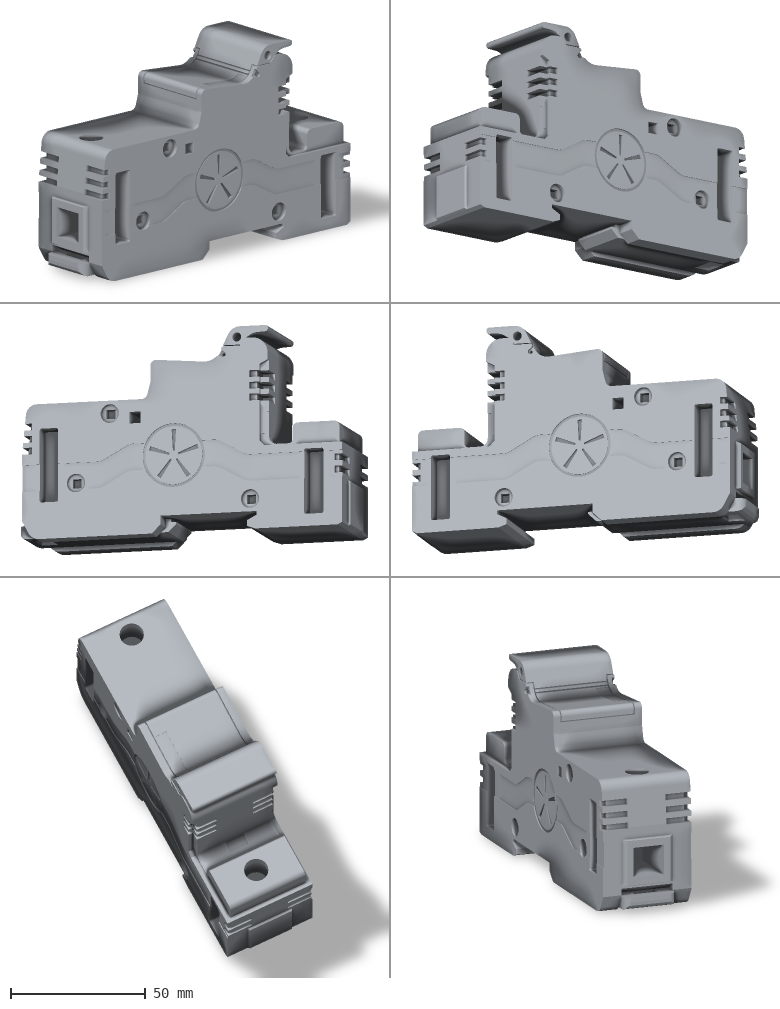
import cadquery as cq
import math


SIDES = (-1, 1)

width = 35.4
half_width = width / 2
overshoot = 5.0
front_y = -58.5
rear_y = 65.06
rail_ceiling_z = 6.55
deck_z = 50.9
tower_front_y = -8.95
tower_rear_y = 36.3
tower_top_z = 72.1
cover_edge_z = 65.6
cover_corner_radius = 2.0
deck_corner_radius = 4.2
front_bend_z = 32.75
front_top_y = -56.65
front_foot_y = -54.7
front_foot_z = 6.9
front_foot_radius = 4.7
rear_foot_y = 63.3
rail_hook_y = 28.4
rail_rear_y = 32.0
rail_front_y = -5.0
trough_z = 31.9
trough_radius = 3.0
cover_valley = (15.9, 63.55)
cover_valley_radius = 6.4
deck_step_y = -10.6
deck_step_radius = 2.5
tower_bend = (-9.0, 57.0)
tower_wall_z = 57.9
tower_top_radius = 6.0
block_front_y = 45.4
block_rear_y = 63.4
block_top_z = 39.6
block_radius = 1.9
block_foot_radius = 1.6

centre_half_width = 15.85
shoulder_y = 33.1
shoulder_z = 31.25
shoulder_top_z = 62.0
shoulder_chamfer = 1.9
shoulder_slope_z = 63.6
flank_relief = 0.2
flank_step_y = 34.6
flank_step_low_z = 36.1
flank_step_high_z = 44.3

lever_top_z = 76.6
lever_foot_z = 69.7
lever_inset = 0.3
lever_back_y = 22.35
lever_back_radius = 5.0
lever_slope = (lever_back_y - cover_valley[0]) / (lever_top_z - cover_valley[1])
lever_front_foot_y = cover_valley[0] + lever_slope * (lever_foot_z - cover_valley[1])
lever_tip_low_z = 74.3
lever_tip_radius = 1.0
lever_finger_bend = (30.6, 74.0)
lever_finger_radius = 6.0
lever_knee = (27.6, tower_top_z)
lever_heel = (25.4, lever_foot_z)
pivot = (24.3, 72.6)
pivot_radius = 1.7
hinge = (19.1, 66.3)
hinge_socket_radius = 1.0
hinge_hole_radius = 0.55
hinge_socket_depth = 1.2
hinge_mouth_reach = 4.0
hinge_mouth_rise = 2.4

seam_width = 0.5
seam_depth = 0.8
cover_lip_height = 1.0
cover_lip_depth = 0.15
cover_half_width = 14.4
cover_foot_z = 61.2
hinge_seams_z = (66.05, 67.3)
lever_seam_height = 0.4
lever_seam_rear_y = 25.6
label_width = 5.0
label_y = (-1.45, 16.4)
label_depth = 0.15

wheel_z = 29.2
wheel_radius = 12.0
wheel_inner_radius = 11.0
hub_radius = 1.8
mark_depth = 0.3
wheel_ring_depth = 0.6
spoke_count = 5
spoke_depth = 1.3
spoke_root_half_width = 0.25
spoke_tip_half_width = 0.85
spoke_tip_radius = 9.8
band_low_z = 18.1
band_height = 10.0
band_rise = 6.15
band_outer_corner_y = 28.2
band_inner_corner_y = 17.0
band_radius = 6.0

pocket_depth = 8.0
pocket_radius = 0.7
front_pocket = (-51.7, -44.65, 13.8, 41.6)
rear_pocket = (50.4, 57.8, 4.6, 29.2)
rivet_centres = ((-24.7, 46.05), (29.5, 11.4), (-37.8, 20.5))
rivet_radius = 3.5
rivet_recess_depth = 2.0
rivet_square = 3.4
rivet_square_depth = 5.0
window_centre = (-14.9, 44.1)
window_size = 4.3

vent_length = 10.1
vent_outer_length = 2.2
vent_height = 2.5
front_vents_z = (42.45, 37.8, 33.4)
front_vent_deep_y = -54.6
front_vent_floor_depth = 1.8
tower_vents_z = (58.5, 54.1, 49.65)
tower_vent_deep_y = 29.2
tower_vent_shallow_y = 31.6
rear_vents_z = (25.55, 20.95)
rear_vent_deep_y = 62.0
rear_vent_shallow_y = 63.3

screw_radius = 4.5
screw_depth = 12.0
screws = ((53.8, block_top_z), (-48.1, deck_z))
cable_pad_width = 19.9
cable_pad_z = (10.3, 28.3)
cable_pad_thickness = 1.4
cable_pad_side_bevel = 1.35
cable_pad_end_bevel = 0.4
cable_hole_width = 12.1
cable_hole_z = (13.5, 25.1)
cable_hole_depth = 20.0
rear_pad_width = 18.5
rear_pad_z = (0.9, 18.1)
rear_pad_y = 65.86
rear_pad_bevel = 0.5

clip_width = 20.6
clip_bottom_z = 1.6
clip_lip_y = -61.8
clip_nose_y = -1.1
clip_catch_y = -3.1
clip_catch_z = 5.35
clip_corner_radius = 2.8
clip_eye_width = 9.5
clip_eye_y = (-57.3, -51.0)
channel_mouth_z = 9.4
channel_mouth_depth = 5.0

notch_width = 7.5
notch_y = 39.8
notch_radius = 2.05
notch_depth = 0.25


def rounded_profile(corners):
    """Closed YZ outline through (y, z) or (y, z, radius) corners, rounded by tangent arcs."""
    sketch = None
    for i, corner in enumerate(corners):
        before = corners[i - 1]
        after = corners[(i + 1) % len(corners)]
        radius = corner[2] if len(corner) > 2 else 0
        points = corner_points(before, corner, after, radius)
        if sketch is None:
            sketch = cq.Workplane("YZ").moveTo(*points[0])
        else:
            sketch = sketch.lineTo(*points[0])
        if radius:
            sketch = sketch.threePointArc(points[1], points[2])
    return sketch.close()


def corner_points(before, corner, after, radius):
    """The sharp corner itself, or the start, middle and end of its rounding arc."""
    y, z = corner[:2]
    if not radius:
        return [(y, z)]
    back = math.atan2(before[1] - z, before[0] - y)
    ahead = math.atan2(after[1] - z, after[0] - y)
    half_angle = math.acos(math.cos(ahead - back)) / 2
    tangent = radius / math.tan(half_angle)
    middle = math.atan2(math.sin(back) + math.sin(ahead), math.cos(back) + math.cos(ahead))
    reach = radius / math.sin(half_angle) - radius
    steps = ((back, tangent), (middle, reach), (ahead, tangent))
    return [(y + d * math.cos(a), z + d * math.sin(a)) for a, d in steps]


def prism(corners, x_range):
    """Rounded YZ outline extruded between two X limits, given in either order."""
    start, end = sorted(x_range)
    return rounded_profile(corners).extrude(end - start).translate((start, 0, 0))


def box(x_range, y_range, z_range):
    """Box between pairs of limits, given in either order."""
    ranges = [sorted(r) for r in (x_range, y_range, z_range)]
    sizes = [high - low for low, high in ranges]
    return cq.Workplane("XY").box(*sizes, centered=False).translate(tuple(r[0] for r in ranges))


def side_range(side, depth):
    """X limits of a cutter that enters one side face to the given depth."""
    return (side * (half_width - depth), side * (half_width + overshoot))


def side_cylinder(centre, radius, side, depth):
    start, end = sorted(side_range(side, depth))
    disc = cq.Workplane("YZ").center(*centre).circle(radius)
    return disc.extrude(end - start).translate((start, 0, 0))


def centred(middle, size):
    return (middle - size / 2, middle + size / 2)


def through_x(y_range, z_range):
    reach = half_width + overshoot
    return box((-reach, reach), y_range, z_range)


def make_body():
    rail_recess = [
        (31.5, 0), (rail_hook_y, 1.1), (rail_hook_y, 3.35), (rail_rear_y, 5.15),
        (rail_rear_y, rail_ceiling_z), (rail_front_y, rail_ceiling_z), (rail_front_y, 3.35), (-8.5, 0),
    ]
    corners = [(rear_foot_y, 0)] + rail_recess + [
        (front_foot_y, 0, front_foot_radius), (front_y, front_foot_z),
        (front_y, front_bend_z), (front_top_y, deck_z, deck_corner_radius),
        (deck_step_y, deck_z, deck_step_radius), tower_bend, (tower_front_y, tower_wall_z),
        (tower_front_y, cover_edge_z, cover_corner_radius),
        (*cover_valley, cover_valley_radius),
        (lever_front_foot_y, lever_foot_z), lever_heel, lever_knee,
        (tower_rear_y, tower_top_z, tower_top_radius),
        (tower_rear_y, trough_z, trough_radius),
        (block_front_y, trough_z, block_foot_radius),
        (block_front_y, block_top_z, block_radius),
        (block_rear_y, block_top_z, block_radius),
        (block_rear_y, shoulder_z), (rear_y, shoulder_z), (rear_y, rear_pad_z[0]),
    ]
    return prism(corners, (-half_width, half_width))


def make_lever():
    corners = [
        (lever_front_foot_y, lever_foot_z),
        (lever_back_y, lever_top_z, lever_back_radius),
        (tower_rear_y, lever_top_z, lever_tip_radius),
        (tower_rear_y, lever_tip_low_z, lever_tip_radius),
        (*lever_finger_bend, lever_finger_radius), lever_knee, lever_heel,
    ]
    half = half_width - lever_inset
    return prism(corners, (-half, half))


def shoulder_cut(side):
    """Clears the shoulder beside the centre part and sinks its lower flank slightly."""
    far_y = rear_y + overshoot
    foot = [
        (far_y, shoulder_z), (shoulder_y + shoulder_chamfer, shoulder_z),
        (shoulder_y, shoulder_z + shoulder_chamfer),
    ]
    shoulder = foot + [
        (shoulder_y, shoulder_top_z), (tower_rear_y, shoulder_slope_z),
        (far_y, shoulder_slope_z),
    ]
    flank = foot + [
        (shoulder_y, flank_step_low_z), (flank_step_y, flank_step_low_z),
        (flank_step_y, flank_step_high_z), (tower_rear_y, flank_step_high_z),
        (far_y, flank_step_high_z),
    ]
    outer = side * (half_width + overshoot)
    cut = prism(shoulder, (side * centre_half_width, outer))
    return cut.union(prism(flank, (side * (centre_half_width - flank_relief), outer)))


def notch_cut():
    floor_z = trough_z - notch_depth
    corners = [
        (notch_y, floor_z), (tower_rear_y, floor_z, notch_radius),
        (tower_rear_y, trough_z + trough_radius), (notch_y, trough_z + trough_radius),
    ]
    return prism(corners, centred(0, notch_width))


def cover_skin(depth, x_range):
    """Thin layer under the surface of the fuse cover, from the hinge to the tower front."""
    cover = prism([
        (tower_front_y, cover_foot_z), (tower_front_y, cover_edge_z, cover_corner_radius),
        (*cover_valley, cover_valley_radius), (lever_front_foot_y, lever_foot_z),
        (lever_front_foot_y, cover_foot_z),
    ], x_range)
    return cover.cut(cover.translate((0, depth, -depth)))


def cover_seams():
    seam_half = cover_half_width + seam_width
    cuts = cover_skin(seam_depth, (-cover_half_width, cover_half_width)).intersect(
        through_x((tower_front_y, 0), (cover_foot_z, cover_foot_z + seam_width)))
    lip = cover_skin(cover_lip_depth, (-cover_half_width, cover_half_width))
    lip_z = cover_foot_z + seam_width
    cuts = cuts.union(lip.intersect(through_x((tower_front_y, 0), (lip_z, lip_z + cover_lip_height))))
    for z in hinge_seams_z:
        layer = cover_skin(seam_depth, (-cover_half_width, cover_half_width))
        cuts = cuts.union(layer.intersect(through_x((0, lever_front_foot_y), centred(z, seam_width))))
    for side in SIDES:
        cuts = cuts.union(cover_skin(seam_depth, (side * cover_half_width, side * seam_half)))
        cuts = cuts.union(box(
            (side * cover_half_width, side * (half_width + overshoot)),
            (lever_front_foot_y - seam_depth, lever_seam_rear_y),
            (lever_foot_z - lever_seam_height, lever_foot_z)))
    label = cover_skin(label_depth, (cover_half_width - label_width, cover_half_width))
    return cuts.union(label.intersect(through_x(label_y, (cover_foot_z, lever_foot_z))))


def hinge_cut(side):
    """Blind socket around the hinge hole, with a mouth opening to the cover surface."""
    y, z = hinge
    socket = side_cylinder(hinge, hinge_socket_radius, side, hinge_socket_depth)
    open_y = y - hinge_mouth_reach
    top_z = z + hinge_mouth_rise
    mouth = prism([
        (y, z - hinge_socket_radius / 2), (y + hinge_socket_radius / 2, z + hinge_socket_radius / 2),
        (y - hinge_socket_radius, top_z), (open_y, top_z), (open_y, z - hinge_socket_radius / 2),
    ], side_range(side, hinge_socket_depth))
    return socket.union(mouth)


def cross_hole(centre, radius):
    disc = cq.Workplane("YZ").center(*centre).circle(radius)
    return disc.extrude(half_width + overshoot, both=True)


def band_cut(side):
    low = band_low_z
    high = band_low_z + band_rise
    lower = [
        (rear_y + overshoot, low), (band_outer_corner_y, low, band_radius),
        (band_inner_corner_y, high, band_radius), (-band_inner_corner_y, high, band_radius),
        (-band_outer_corner_y, low, band_radius), (front_y - overshoot, low),
    ]
    upper = [(y, z + band_height, *radius) for y, z, *radius in reversed(lower)]
    return prism(lower + upper, side_range(side, mark_depth))


def wheel_cut(side):
    """Shallow disc with a deeper rim ring, five tapered spokes around a hub left flush with the side."""
    centre = (0, wheel_z)
    rim = side_cylinder(centre, wheel_radius, side, wheel_ring_depth)
    rim = rim.cut(side_cylinder(centre, wheel_inner_radius, side, wheel_ring_depth))
    cut = rim.union(side_cylinder(centre, wheel_inner_radius, side, mark_depth))
    spoke = prism([
        (-spoke_root_half_width, wheel_z), (spoke_root_half_width, wheel_z),
        (spoke_tip_half_width, wheel_z + spoke_tip_radius),
        (-spoke_tip_half_width, wheel_z + spoke_tip_radius),
    ], side_range(side, spoke_depth))
    for i in range(spoke_count):
        turn = i * 360 / spoke_count
        cut = cut.union(spoke.rotate((0, 0, wheel_z), (1, 0, wheel_z), turn))
    return cut.cut(side_cylinder(centre, hub_radius, side, spoke_depth))


def pocket_cut(side, limits):
    y_min, y_max, z_min, z_max = limits
    pocket = box(side_range(side, pocket_depth), (y_min, y_max), (z_min, z_max))
    return pocket.edges("|X").fillet(pocket_radius)


def rivet_cut(side, centre):
    y, z = centre
    recess = side_cylinder(centre, rivet_radius, side, rivet_recess_depth)
    square = box(side_range(side, rivet_square_depth), centred(y, rivet_square), centred(z, rivet_square))
    return recess.union(square)


def vent_cut(side, z, deep_y, shallow_y, open_y):
    """Corner vent: the full length reaches shallow_y, the outer part reaches deep_y."""
    z_range = centred(z, vent_height)
    inner = box(side_range(side, vent_length), (shallow_y, open_y), z_range)
    return inner.union(box(side_range(side, vent_outer_length), (deep_y, open_y), z_range))


def front_vent_cut(side, z):
    """Front vent whose shallow floor runs parallel to the leaning front wall."""
    lean = (front_top_y - front_y) / (deck_z - front_bend_z)
    floor_y = front_y + front_vent_floor_depth
    open_y = front_y - overshoot
    z_range = centred(z, vent_height)
    low_z, high_z = z_range
    inner = prism([
        (open_y, low_z), (floor_y + lean * (low_z - front_bend_z), low_z),
        (floor_y + lean * (high_z - front_bend_z), high_z), (open_y, high_z),
    ], side_range(side, vent_length))
    return inner.union(box(side_range(side, vent_outer_length), (open_y, front_vent_deep_y), z_range))


def side_cuts(side):
    cuts = [shoulder_cut(side), hinge_cut(side), band_cut(side), wheel_cut(side)]
    cuts += [pocket_cut(side, limits) for limits in (front_pocket, rear_pocket)]
    cuts += [rivet_cut(side, centre) for centre in rivet_centres]
    cuts += [front_vent_cut(side, z) for z in front_vents_z]
    tower_open_y = tower_rear_y + overshoot
    for z in tower_vents_z:
        cuts.append(vent_cut(side, z, tower_vent_deep_y, tower_vent_shallow_y, tower_open_y))
    rear_open_y = rear_y + overshoot
    for z in rear_vents_z:
        cuts.append(vent_cut(side, z, rear_vent_deep_y, rear_vent_shallow_y, rear_open_y))
    return cuts


def screw_hole(y, mouth_z):
    hole = cq.Workplane("XY").center(0, y).circle(screw_radius).extrude(screw_depth)
    return hole.translate((0, 0, mouth_z - screw_depth))


def bevelled_pad(pad_width, z_range, wall_y, face_y, side_bevel, end_bevel):
    """Plate on an end wall, tapering from the wall to its face."""
    middle_z = sum(z_range) / 2
    height = z_range[1] - z_range[0]
    thickness = face_y - wall_y
    base = cq.Workplane("XZ", origin=(0, wall_y, middle_z)).rect(pad_width, height)
    face = base.workplane(offset=-thickness).rect(pad_width - 2 * side_bevel, height - 2 * end_bevel)
    return face.loft(ruled=True)


def channel_cut():
    """Clip channel along the base, with a sloping mouth in the front wall."""
    x_range = centred(0, clip_width)
    channel = box(x_range, (front_y - overshoot, 0), (-overshoot, rail_ceiling_z))
    mouth = prism([
        (front_y - overshoot, rail_ceiling_z), (front_y + channel_mouth_depth, rail_ceiling_z),
        (front_y, channel_mouth_z), (front_y - overshoot, channel_mouth_z),
    ], x_range)
    return channel.union(mouth)


def make_clip():
    """Sliding rail clip: a hooked nose at the rail and a pull lip at the front."""
    clip = prism([
        (clip_lip_y, rail_ceiling_z), (clip_lip_y, 4.7), (-61.65, 3.4), (-60.6, 2.1),
        (-59.1, clip_bottom_z), (-4.2, clip_bottom_z), (clip_nose_y, 4.5),
        (clip_nose_y, clip_catch_z), (clip_catch_y, clip_catch_z), (clip_catch_y, rail_ceiling_z),
    ], centred(0, clip_width))
    lip_corners = box(centred(0, clip_width), (clip_lip_y, 0), (0, rail_ceiling_z))
    lip_corners = lip_corners.edges("|Z and <Y").fillet(clip_corner_radius)
    eye = box(centred(0, clip_eye_width), clip_eye_y, (0, rail_ceiling_z))
    return clip.intersect(lip_corners).cut(eye)


def build():
    part = make_body().union(make_lever())
    for side in SIDES:
        for cut in side_cuts(side):
            part = part.cut(cut)
    part = part.cut(cover_seams()).cut(notch_cut())
    part = part.cut(cross_hole(pivot, pivot_radius)).cut(cross_hole(hinge, hinge_hole_radius))
    window_y, window_z = window_centre
    part = part.cut(through_x(centred(window_y, window_size), centred(window_z, window_size)))
    for y, mouth_z in screws:
        part = part.cut(screw_hole(y, mouth_z))
    part = part.union(bevelled_pad(cable_pad_width, cable_pad_z, front_y, front_y - cable_pad_thickness,
                                   cable_pad_side_bevel, cable_pad_end_bevel))
    part = part.union(bevelled_pad(rear_pad_width, rear_pad_z, rear_y, rear_pad_y,
                                   rear_pad_bevel, rear_pad_bevel))
    part = part.cut(box(centred(0, cable_hole_width), (front_y - overshoot, front_y + cable_hole_depth),
                        cable_hole_z))
    return part.cut(channel_cut()).union(make_clip())


result = build()